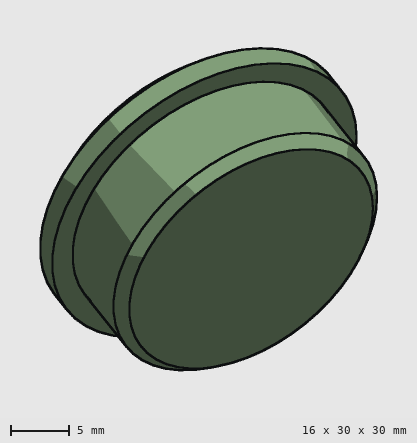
import cadquery as cq
import math

flange_diameter = 30.0
plug_diameter = 25.98
total_length = 16.0
plug_length = 7.98
flange_thickness = 2.07
chamfer_size = 1.0

flange_radius = flange_diameter / 2
plug_radius = plug_diameter / 2
dome_height = total_length - plug_length - flange_thickness

sphere_radius = (flange_radius**2 + dome_height**2) / (2 * dome_height)
apex_x = -flange_thickness - dome_height
sphere_center_x = apex_x + sphere_radius
half_cap_angle = math.asin(flange_radius / sphere_radius) / 2
dome_midpoint = (
    sphere_center_x - sphere_radius * math.cos(half_cap_angle),
    sphere_radius * math.sin(half_cap_angle),
)

half_section = (
    cq.Workplane("XY")
    .moveTo(apex_x, 0)
    .threePointArc(dome_midpoint, (-flange_thickness, flange_radius))
    .lineTo(0, flange_radius)
    .lineTo(0, plug_radius)
    .lineTo(plug_length - chamfer_size, plug_radius)
    .lineTo(plug_length, plug_radius - chamfer_size)
    .lineTo(plug_length, 0)
    .close()
)

result = half_section.revolve(360, (0, 0, 0), (1, 0, 0))